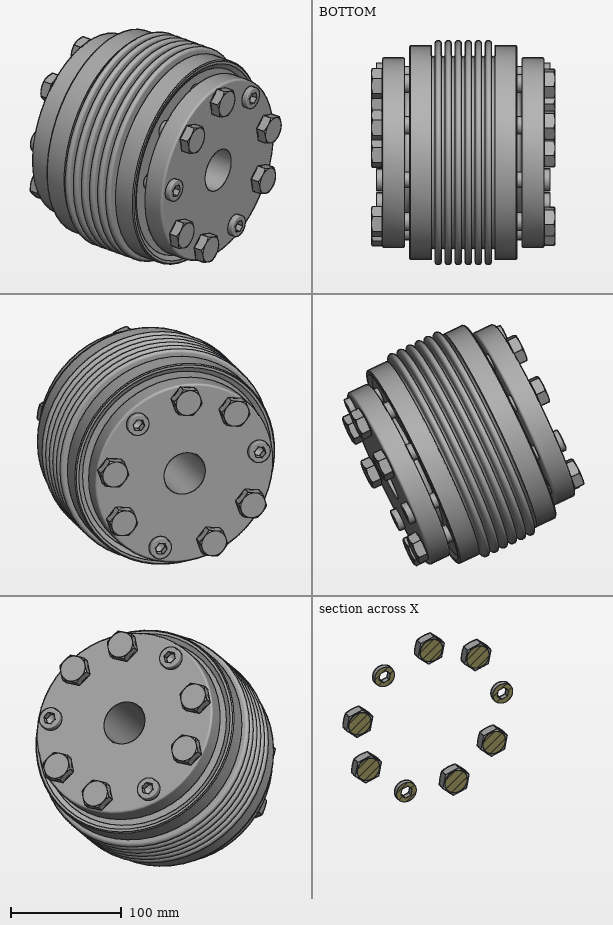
import cadquery as cq
import math


BELLOWS_LENGTH = 57.7
OUTER_DIAMETER = 203.0
FOLD_COUNT = 6
FOLD_WIDTH = 5.9
ROOT_WIDTH = (BELLOWS_LENGTH - FOLD_COUNT * FOLD_WIDTH) / (FOLD_COUNT + 1)
ROOT_RADIUS = 86.7
BELLOWS_HALF = BELLOWS_LENGTH / 2

FLANGE_DIAMETER = 193.5
FLANGE_THICKNESS = 19.9
FLANGE_CHAMFER = 1.0
RECESS_MOUTH_DIAMETER = 186.4
RECESS_FLOOR_DIAMETER = 177.5
RECESS_DEPTH = 2.2
FLANGE_FACE = BELLOWS_HALF + FLANGE_THICKNESS

BORE_DIAMETER = 40.0
HUB_DIAMETER = 116.0
HUB_FILLET = 4.0
PLATE_DIAMETER = 172.0
PLATE_THICKNESS = 20.0
PLATE_FILLET = 2.0
PLATE_GAP = 4.3
PLATE_INNER = FLANGE_FACE + PLATE_GAP
PLATE_FACE = PLATE_INNER + PLATE_THICKNESS

BOLT_CIRCLE_RADIUS = 72.0
SCREW_COUNT = 9
SOCKET_INTERVAL = 3
FIRST_SCREW_ANGLE = 10.0
HEX_ACROSS_FLATS = 24.0
HEX_HEAD_HEIGHT = 10.0
HEX_SHANK_DIAMETER = 16.0
HEX_CHAMFER_ANGLE = 30.0
HEX_TURN_LEFT = -11.0
HEX_TURN_RIGHT = HEX_TURN_LEFT + 30.0
WASHER_FACE_DIAMETER = 22.5
WASHER_FACE_HEIGHT = 0.6
SOCKET_HEAD_DIAMETER = 20.0
SOCKET_HEAD_HEIGHT = 5.5
SOCKET_HEAD_FILLET = 0.8
SOCKET_SHANK_DIAMETER = 14.0
SOCKET_ACROSS_FLATS = 10.0
SOCKET_DEPTH = 6.0
SOCKET_TIP_ANGLE = 120.0


def hexagon_circumdiameter(across_flats):
    return across_flats / math.cos(math.radians(30))


def revolve_about_x(profile):
    """Revolve a profile drawn in the XY plane, Y being the radius."""
    return profile.close().revolve(360, (0, 0, 0), (1, 0, 0))


def cylinder_x(diameter, start, end):
    return cq.Workplane("YZ", origin=(start, 0, 0)).circle(diameter / 2).extrude(end - start)


def make_bellows():
    """Round-crested folds with flat sides, joined by round roots."""
    crest_side = OUTER_DIAMETER / 2 - FOLD_WIDTH / 2
    root_side = ROOT_RADIUS + ROOT_WIDTH / 2
    x = -BELLOWS_HALF
    profile = cq.Workplane("XY").moveTo(x, 0).lineTo(x, root_side)
    for _ in range(FOLD_COUNT):
        fold_start = x + ROOT_WIDTH
        fold_end = fold_start + FOLD_WIDTH
        profile = (
            profile
            .threePointArc((x + ROOT_WIDTH / 2, ROOT_RADIUS), (fold_start, root_side))
            .lineTo(fold_start, crest_side)
            .threePointArc((fold_start + FOLD_WIDTH / 2, OUTER_DIAMETER / 2), (fold_end, crest_side))
            .lineTo(fold_end, root_side)
        )
        x = fold_end
    profile = profile.threePointArc(
        (x + ROOT_WIDTH / 2, ROOT_RADIUS), (BELLOWS_HALF, root_side)
    ).lineTo(BELLOWS_HALF, 0)
    return revolve_about_x(profile)


def make_flange():
    """Flange at the +X end, with a shallow cone-sided recess in its outer face."""
    radius = FLANGE_DIAMETER / 2
    floor = FLANGE_FACE - RECESS_DEPTH
    return revolve_about_x(
        cq.Workplane("XY")
        .moveTo(BELLOWS_HALF, 0)
        .lineTo(BELLOWS_HALF, radius)
        .lineTo(FLANGE_FACE - FLANGE_CHAMFER, radius)
        .lineTo(FLANGE_FACE, radius - FLANGE_CHAMFER)
        .lineTo(FLANGE_FACE, RECESS_MOUTH_DIAMETER / 2)
        .lineTo(floor, RECESS_FLOOR_DIAMETER / 2)
        .lineTo(floor, 0)
    )


def make_plate_and_hub():
    """Round-edged end plate at the +X end, on a hub that flares into it."""
    plate = cylinder_x(PLATE_DIAMETER, PLATE_INNER, PLATE_FACE).edges().fillet(PLATE_FILLET)
    hub_radius = HUB_DIAMETER / 2
    flare_start = PLATE_INNER - HUB_FILLET
    flare_mid_offset = HUB_FILLET * math.sin(math.radians(45))
    hub = revolve_about_x(
        cq.Workplane("XY")
        .moveTo(0, 0)
        .lineTo(0, hub_radius)
        .lineTo(flare_start, hub_radius)
        .threePointArc(
            (flare_start + flare_mid_offset, hub_radius + HUB_FILLET - flare_mid_offset),
            (PLATE_INNER, hub_radius + HUB_FILLET),
        )
        .lineTo(PLATE_FACE, hub_radius + HUB_FILLET)
        .lineTo(PLATE_FACE, 0)
    )
    return plate.union(hub)


def make_hex_bolt(turn):
    """Hexagon bolt on the X axis, its head on the +X end plate."""
    head_start = PLATE_FACE + WASHER_FACE_HEIGHT
    head_end = PLATE_FACE + HEX_HEAD_HEIGHT
    corner_diameter = hexagon_circumdiameter(HEX_ACROSS_FLATS)
    head = (
        cq.Workplane("YZ", origin=(head_start, 0, 0))
        .polygon(6, corner_diameter)
        .extrude(head_end - head_start)
        .rotate((0, 0, 0), (1, 0, 0), turn)
    )
    corner_radius = corner_diameter / 2
    flat_radius = HEX_ACROSS_FLATS / 2
    corner_drop = (corner_radius - flat_radius) * math.tan(math.radians(HEX_CHAMFER_ANGLE))
    corner_cone = revolve_about_x(
        cq.Workplane("XY")
        .moveTo(head_start, 0)
        .lineTo(head_start, corner_radius)
        .lineTo(head_end - corner_drop, corner_radius)
        .lineTo(head_end, flat_radius)
        .lineTo(head_end, 0)
    )
    washer_face = cylinder_x(WASHER_FACE_DIAMETER, PLATE_FACE, head_start)
    shank = cylinder_x(HEX_SHANK_DIAMETER, BELLOWS_HALF, PLATE_FACE)
    return head.intersect(corner_cone).union(washer_face).union(shank)


def make_socket_screw():
    """Low-head screw on the X axis, without its socket."""
    head_end = PLATE_FACE + SOCKET_HEAD_HEIGHT
    head = cylinder_x(SOCKET_HEAD_DIAMETER, PLATE_FACE, head_end)
    head = head.faces(">X").edges().fillet(SOCKET_HEAD_FILLET)
    return head.union(cylinder_x(SOCKET_SHANK_DIAMETER, BELLOWS_HALF, PLATE_FACE))


def make_socket_cut(turn):
    """Hexagon socket with a cone-shaped floor."""
    head_end = PLATE_FACE + SOCKET_HEAD_HEIGHT
    floor = head_end - SOCKET_DEPTH
    corner_diameter = hexagon_circumdiameter(SOCKET_ACROSS_FLATS)
    tip_depth = corner_diameter / 2 / math.tan(math.radians(SOCKET_TIP_ANGLE / 2))
    hexagon = (
        cq.Workplane("YZ", origin=(floor - tip_depth, 0, 0))
        .polygon(6, corner_diameter)
        .extrude(SOCKET_DEPTH + tip_depth)
        .rotate((0, 0, 0), (1, 0, 0), turn)
    )
    pointed_envelope = revolve_about_x(
        cq.Workplane("XY")
        .moveTo(floor - tip_depth, 0)
        .lineTo(floor, corner_diameter / 2)
        .lineTo(head_end, corner_diameter / 2)
        .lineTo(head_end, 0)
    )
    return hexagon.intersect(pointed_envelope)


def make_end(hex_turn):
    """Everything beyond the bellows at the +X end."""
    hex_bolt = make_hex_bolt(hex_turn)
    socket_screw = make_socket_screw()
    socket_cut = make_socket_cut(hex_turn)
    end = make_flange().union(make_plate_and_hub())
    for index in range(SCREW_COUNT):
        angle = math.radians(FIRST_SCREW_ANGLE + index * 360 / SCREW_COUNT)
        place = (0, -BOLT_CIRCLE_RADIUS * math.cos(angle), BOLT_CIRCLE_RADIUS * math.sin(angle))
        if index % SOCKET_INTERVAL == 0:
            end = end.union(socket_screw.translate(place)).cut(socket_cut.translate(place))
        else:
            end = end.union(hex_bolt.translate(place))
    return end


bore = cylinder_x(BORE_DIAMETER, -PLATE_FACE, PLATE_FACE)
left_end = make_end(-HEX_TURN_LEFT).mirror("YZ")
right_end = make_end(-HEX_TURN_RIGHT)
result = make_bellows().union(left_end).union(right_end).cut(bore)